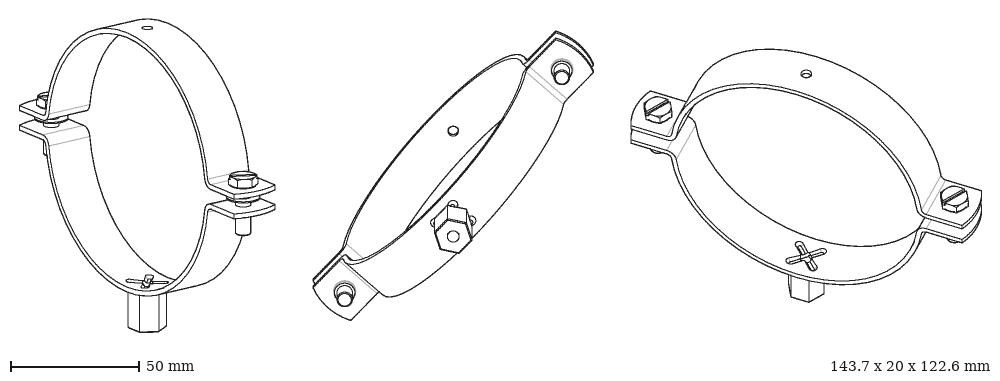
import cadquery as cq
import math

overall_length = 143.7
overall_height = 122.6
band_width = 20.0
band_thickness = 2.0
ring_radius = 53.0
flange_gap = 6.0
bend_radius = 2.0
flange_tip_radius = 24.5
top_hole_diameter = 4.0

bolt_spacing = 124.8
bolt_diameter = 6.0
bolt_tip_z = -15.0
bolt_tip_chamfer = 0.5
head_across_flats = 10.0
head_height = 3.9
head_trim_diameter = 10.2
head_trim_angle = 30.0
bearing_face_height = 0.3
slot_width = 1.5
slot_depth = 1.1
slot_angle = 60.0

collar_diameter = 8.0
collar_height = 2.0
collar_root_fillet = 0.3

washer_diameter = 13.1
washer_thickness = 0.5

nut_across_flats = 13.1
nut_chamfer = 0.5
nut_bore_diameter = 4.6

cross_depth = 1.0
rib_bottom_length = 15.2
rib_bottom_width = 1.7
rib_root_width = 3.5
groove_floor_length = 14.5
groove_floor_width = 1.3
groove_top_width = 2.9
cross_angles = (45.0, 135.0)

inner_radius = ring_radius - band_thickness
flange_inner_z = flange_gap / 2
flange_outer_z = flange_inner_z + band_thickness
bend_z = flange_outer_z + bend_radius
bend_x = math.sqrt((ring_radius + bend_radius) ** 2 - bend_z ** 2)
bend_angle = math.atan2(bend_z, bend_x)
bolt_xs = (-bolt_spacing / 2, bolt_spacing / 2)
nut_top_z = -ring_radius
nut_bottom_z = ring_radius - overall_height
cross_bottom_z = -ring_radius - cross_depth
cross_floor_z = -inner_radius - cross_depth


def disc(diameter, x, bottom_z, top_z):
    """Upright cylinder on the clamp's middle plane, between two heights."""
    height = top_z - bottom_z
    return cq.Workplane("XY", origin=(x, 0, bottom_z)).circle(diameter / 2).extrude(height)


def hexagon(across_flats, x, bottom_z, top_z):
    """Upright hexagonal prism with two corners on the X direction."""
    across_corners = across_flats / math.cos(math.pi / 6)
    height = top_z - bottom_z
    return cq.Workplane("XY", origin=(x, 0, bottom_z)).polygon(6, across_corners).extrude(height)


def bend_point(radius, angle, side):
    """Point on a bend arc; angle is measured down from the line bend centre to ring centre."""
    direction = bend_angle + angle
    return (side * (bend_x - radius * math.cos(direction)), bend_z - radius * math.sin(direction))


def band_profile():
    """Upper half of the band in the XZ plane: half ring, two bends and two flanges."""
    tip_x = overall_length / 2
    outer_bend = bend_radius + band_thickness
    sweep = math.pi / 2 - bend_angle
    return (
        cq.Workplane("XZ")
        .moveTo(-tip_x, flange_inner_z)
        .lineTo(-bend_x, flange_inner_z)
        .threePointArc(bend_point(outer_bend, sweep / 2, -1), bend_point(outer_bend, 0, -1))
        .threePointArc((0, inner_radius), bend_point(outer_bend, 0, 1))
        .threePointArc(bend_point(outer_bend, sweep / 2, 1), (bend_x, flange_inner_z))
        .lineTo(tip_x, flange_inner_z)
        .lineTo(tip_x, flange_outer_z)
        .lineTo(bend_x, flange_outer_z)
        .threePointArc(bend_point(bend_radius, sweep / 2, 1), bend_point(bend_radius, 0, 1))
        .threePointArc((0, ring_radius), bend_point(bend_radius, 0, -1))
        .threePointArc(bend_point(bend_radius, sweep / 2, -1), (-bend_x, flange_outer_z))
        .lineTo(-tip_x, flange_outer_z)
        .close()
    )


def flange_tip_outline():
    """Plan shape of the clamp with its rounded flange tips, as a tall block."""
    half_width = band_width / 2
    tip_x = overall_length / 2
    corner_x = tip_x - flange_tip_radius + math.sqrt(flange_tip_radius ** 2 - half_width ** 2)
    return (
        cq.Workplane("XY")
        .moveTo(-corner_x, -half_width)
        .lineTo(corner_x, -half_width)
        .threePointArc((tip_x, 0), (corner_x, half_width))
        .lineTo(-corner_x, half_width)
        .threePointArc((-tip_x, 0), (-corner_x, -half_width))
        .close()
        .extrude(ring_radius)
    )


def make_plain_half():
    """Upper clamp half without any holes."""
    return band_profile().extrude(band_width / 2, both=True).intersect(flange_tip_outline())


def make_upper_half():
    """Upper clamp half with bolt holes and a small hole at the top of the ring."""
    half = make_plain_half()
    for x in bolt_xs:
        half = half.cut(disc(bolt_diameter, x, flange_inner_z, flange_outer_z))
    return half.cut(disc(top_hole_diameter, 0, 0, ring_radius))


def flared_slot(length, bottom_width, top_width, angle, bottom_z, height):
    """Round-ended bar whose walls slope outward, reaching top_width at cross_depth above its bottom."""
    slope = (top_width - bottom_width) / 2 / cross_depth
    return (
        cq.Workplane("XY", origin=(0, 0, bottom_z))
        .slot2D(length, bottom_width, angle)
        .extrude(height, taper=-math.degrees(math.atan(slope)))
    )


def cross_rib(angle):
    """One bar of the pressed cross, reaching up into the band but not inside the ring."""
    height = cross_depth + band_thickness / 2
    return flared_slot(rib_bottom_length, rib_bottom_width, rib_root_width, angle, cross_bottom_z, height)


def cross_groove(angle):
    """Groove behind one bar of the cross, open to the inside of the ring."""
    height = 2 * cross_depth
    return flared_slot(
        groove_floor_length, groove_floor_width, groove_top_width, angle, cross_floor_z, height
    )


def make_lower_half():
    """Lower clamp half with collars, the pressed cross and a hole in line with the nut bore."""
    half = make_plain_half().mirror("XY")
    for x in bolt_xs:
        half = half.union(disc(collar_diameter, x, -flange_outer_z - collar_height, -flange_outer_z))
        root = cq.selectors.BoxSelector(
            (x - collar_diameter, -collar_diameter, -flange_outer_z - collar_root_fillet),
            (x + collar_diameter, collar_diameter, -flange_outer_z + collar_root_fillet),
        )
        half = half.edges(root).fillet(collar_root_fillet)
        half = half.cut(disc(bolt_diameter, x, -flange_outer_z - collar_height, -flange_inner_z))
    for angle in cross_angles:
        half = half.union(cross_rib(angle))
    for angle in cross_angles:
        half = half.cut(cross_groove(angle))
    return half.cut(disc(nut_bore_diameter, 0, cross_bottom_z, 0))


def make_bolt(x):
    """Slotted hexagon bolt whose head rests on the upper flange."""
    hex_bottom_z = flange_outer_z + bearing_face_height
    head_top_z = flange_outer_z + head_height
    hex_height = head_top_z - hex_bottom_z
    trim_top_radius = head_trim_diameter / 2
    trim_base_radius = trim_top_radius + hex_height / math.tan(math.radians(head_trim_angle))
    trim_base = cq.Vector(x, 0, hex_bottom_z)
    trim_cone = cq.Workplane(cq.Solid.makeCone(trim_base_radius, trim_top_radius, hex_height, trim_base))
    head = hexagon(head_across_flats, x, hex_bottom_z, head_top_z).intersect(trim_cone)
    bearing_face = disc(head_across_flats, x, flange_outer_z, hex_bottom_z)
    shank = disc(bolt_diameter, x, bolt_tip_z, flange_outer_z).faces("<Z").chamfer(bolt_tip_chamfer)
    slot = (
        cq.Workplane("XY", origin=(x, 0, head_top_z))
        .transformed(rotate=(0, 0, slot_angle))
        .rect(2 * head_across_flats, slot_width)
        .extrude(-slot_depth)
    )
    return head.union(bearing_face).union(shank).cut(slot)


def make_washer(x):
    """Thin retaining washer around the bolt, midway between the flanges."""
    blank = disc(washer_diameter, x, -washer_thickness / 2, washer_thickness / 2)
    return blank.cut(disc(bolt_diameter, x, -washer_thickness / 2, washer_thickness / 2))


def make_nut(lower_half):
    """Long hexagon nut under the ring, recessed where the pressed cross enters it."""
    nut = hexagon(nut_across_flats, 0, nut_bottom_z, nut_top_z)
    nut = nut.faces("<Z or >Z").chamfer(nut_chamfer)
    nut = nut.cut(disc(nut_bore_diameter, 0, nut_bottom_z, nut_top_z))
    return nut.cut(lower_half)


upper_half = make_upper_half()
lower_half = make_lower_half()
nut = make_nut(lower_half)
bolts = [make_bolt(x).val() for x in bolt_xs]
washers = [make_washer(x).val() for x in bolt_xs]

result = cq.Compound.makeCompound([upper_half.val(), lower_half.val(), nut.val(), *bolts, *washers])